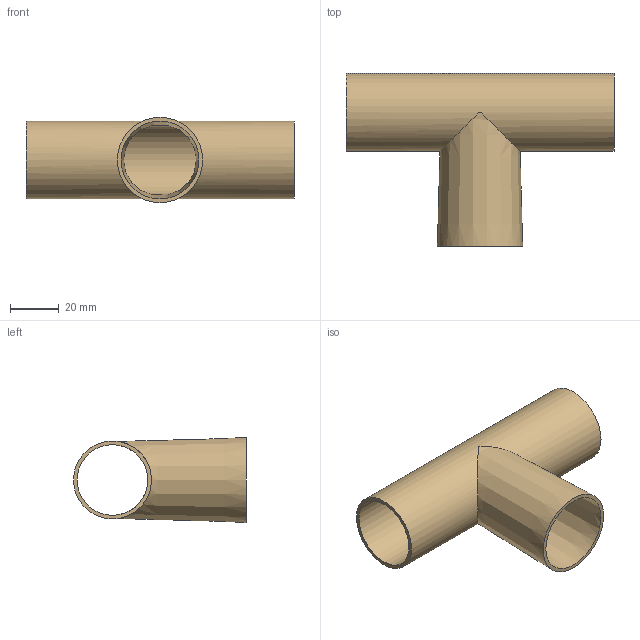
import cadquery as cq

run_length = 110.0
run_outer_diameter = 32.0
wall = 1.5

branch_length = 55.0
mouth_outer_diameter = 35.0


def run_cylinder(diameter):
    """Solid cylinder along X, centred on the origin."""
    return cq.Workplane("YZ").circle(diameter / 2).extrude(run_length / 2, both=True)


def branch_cone(root_diameter, mouth_diameter):
    """Solid cone from the main axis to the branch mouth."""
    half_profile = [
        (0, 0),
        (root_diameter / 2, 0),
        (mouth_diameter / 2, -branch_length),
        (0, -branch_length),
    ]
    return cq.Workplane("XY").polyline(half_profile).close().revolve(360, (0, 0), (0, 1))


run_inner_diameter = run_outer_diameter - 2 * wall
mouth_inner_diameter = mouth_outer_diameter - 2 * wall

outside = run_cylinder(run_outer_diameter).union(
    branch_cone(run_outer_diameter, mouth_outer_diameter)
)
bore = run_cylinder(run_inner_diameter).union(
    branch_cone(run_inner_diameter, mouth_inner_diameter)
)
result = outside.cut(bore)